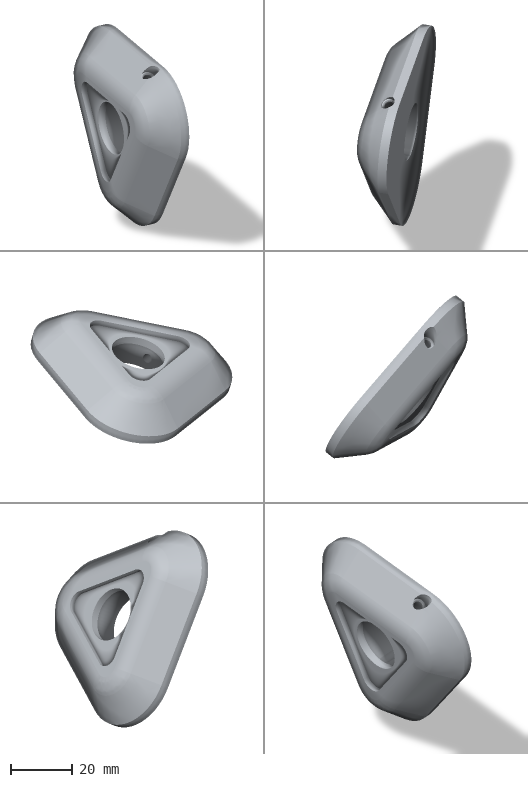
import cadquery as cq
import math

width = 67.0
thickness = 13.0
corner_radius = 17.5
rim_thickness = 3.0
front_round = 8.05
bevel_angle = 45.0

pocket_margin = 2.0
pocket_corner_radius = 4.0
pocket_depth = 2.0

bore_diameter = 17.75
counterbore_diameter = 19.0
lip_thickness = 2.7
groove_diameter = 6.0
groove_width = 3.2

screw_head_diameter = 4.8
screw_diameter = 3.2
countersink_diameter = 4.0
screw_axis_y = -4.2
screw_axis_angle = 60.0
screw_seat_depth = 4.9

corner_spacing = width - 2 * corner_radius
inradius = corner_spacing / (2 * math.sqrt(3)) + corner_radius
bevel_inset = thickness - rim_thickness
round_setback = front_round * math.tan(math.radians(bevel_angle / 2))


def rounded_triangle(side_distance, radius, y, depth):
    """Prism pointing to -Z whose sides lie side_distance from the Y axis, running from y to y - depth."""
    sharp_radius = 2 * side_distance
    corners = []
    for angle in (30, 150, 270):
        turn = math.radians(angle)
        corners.append((sharp_radius * math.cos(turn), sharp_radius * math.sin(turn)))
    prism = cq.Workplane("XZ", origin=(0, y, 0)).polyline(corners).close().extrude(depth)
    return prism.edges("|Y").fillet(radius)


def cylinder_along_y(diameter, y, depth):
    return cq.Workplane("XZ", origin=(0, y, 0)).circle(diameter / 2).extrude(depth)


def make_body():
    body = rounded_triangle(inradius, corner_radius, 0, thickness)
    body = body.faces("<Y").chamfer(bevel_inset)
    return body.faces("<Y").edges().fillet(front_round)


def make_groove(depth):
    """Cylinder that meets the counterbore wall in two lines groove_width apart."""
    half_width = groove_width / 2
    wall_z = -math.sqrt((counterbore_diameter / 2) ** 2 - half_width ** 2)
    center_z = wall_z + math.sqrt((groove_diameter / 2) ** 2 - half_width ** 2)
    return cylinder_along_y(groove_diameter, 0, depth).translate((0, 0, center_z))


def make_screw_hole():
    """Stepped radial hole, entering through the top side and ending on the bore axis."""
    turn = math.radians(screw_axis_angle)
    outward = cq.Vector(math.cos(turn), 0, math.sin(turn))
    center = cq.Vector(0, screw_axis_y, 0)
    seat_distance = inradius / math.sin(turn) - screw_seat_depth
    shank = cq.Solid.makeCylinder(screw_diameter / 2, seat_distance, center, outward)
    seat = center + outward * seat_distance
    head = cq.Solid.makeCylinder(screw_head_diameter / 2, width, seat, outward)
    sink_radius = countersink_diameter / 2
    sink_depth = sink_radius - screw_diameter / 2
    countersink = cq.Solid.makeCone(sink_radius, screw_diameter / 2, sink_depth, seat, -outward)
    return cq.Workplane(shank.fuse(head, countersink))


pocket_inradius = inradius - bevel_inset - round_setback - pocket_margin
pocket_floor_y = pocket_depth - thickness
pocket = rounded_triangle(pocket_inradius, pocket_corner_radius, pocket_floor_y, pocket_depth)
bore = cylinder_along_y(bore_diameter, 0, thickness)
counterbore_depth = -pocket_floor_y - lip_thickness
counterbore = cylinder_along_y(counterbore_diameter, 0, counterbore_depth)
result = make_body().cut(pocket).cut(bore).cut(counterbore)
result = result.cut(make_groove(counterbore_depth)).cut(make_screw_hole())